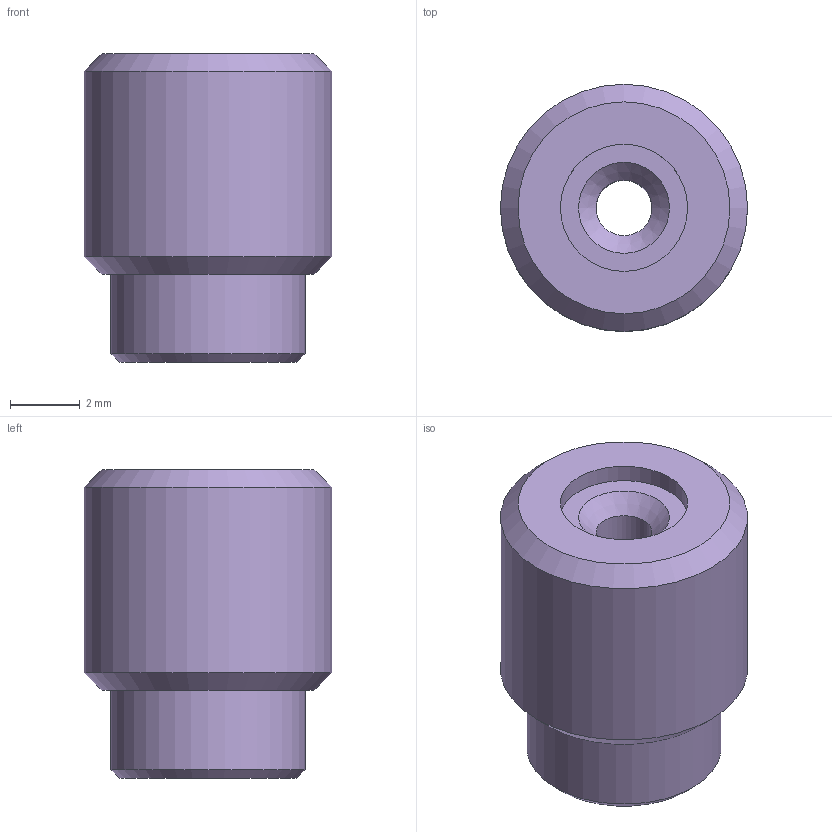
import cadquery as cq

BODY_DIAMETER = 7.112
TOTAL_HEIGHT = 8.89
BODY_CHAMFER = 0.508

SPIGOT_DIAMETER = 5.588
SPIGOT_HEIGHT = 2.54
SPIGOT_CHAMFER = 0.254

BORE_DIAMETER = 1.6
RECESS_DIAMETER = 3.658
RECESS_DEPTH = 0.508
COUNTERSINK_DEPTH = 0.508

BODY_HEIGHT = TOTAL_HEIGHT - SPIGOT_HEIGHT
RECESS_FLOOR = TOTAL_HEIGHT - RECESS_DEPTH


def make_spigot():
    """Narrow lower cylinder with a chamfered bottom edge."""
    spigot = cq.Workplane("XY").circle(SPIGOT_DIAMETER / 2).extrude(SPIGOT_HEIGHT)
    return spigot.faces("<Z").chamfer(SPIGOT_CHAMFER)


def make_body():
    """Wide upper cylinder, chamfered at both ends."""
    body = cq.Workplane("XY", origin=(0, 0, SPIGOT_HEIGHT))
    body = body.circle(BODY_DIAMETER / 2).extrude(BODY_HEIGHT)
    return body.faces("<Z or >Z").chamfer(BODY_CHAMFER)


def make_bore_cutter():
    """Revolved solid of the through bore, countersink and top recess."""
    bore_radius = BORE_DIAMETER / 2
    countersink_radius = bore_radius + COUNTERSINK_DEPTH
    recess_radius = RECESS_DIAMETER / 2
    half_profile = [
        (0, 0),
        (bore_radius, 0),
        (bore_radius, RECESS_FLOOR - COUNTERSINK_DEPTH),
        (countersink_radius, RECESS_FLOOR),
        (recess_radius, RECESS_FLOOR),
        (recess_radius, TOTAL_HEIGHT),
        (0, TOTAL_HEIGHT),
    ]
    profile = cq.Workplane("XZ").polyline(half_profile).close()
    return profile.revolve(360, (0, 0, 0), (0, 1, 0))


result = make_spigot().union(make_body()).cut(make_bore_cutter())